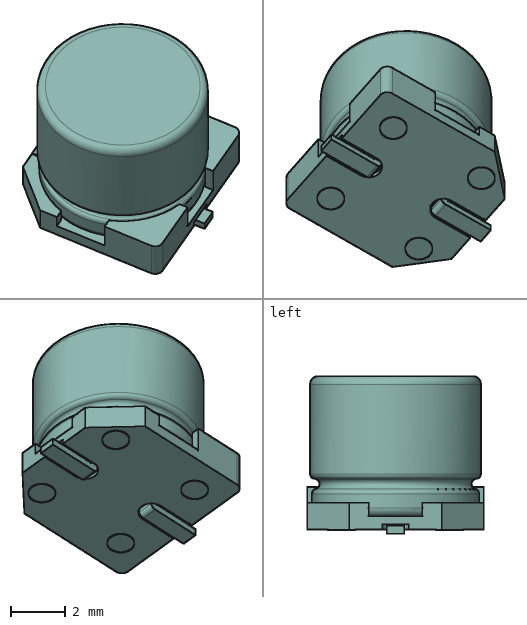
import cadquery as cq
import math

total_length = 7.2
total_height = 5.8

base_size = 6.5
base_bottom = 0.15
floor_height = 0.65
low_top = 1.15
tall_top = 1.73
notch_half_width = 0.99
corner_chamfer = 1.555
corner_radius = 0.31

can_radius = 6.3 / 2
neck_radius = 5.61 / 2
bead_radius = 6.155 / 2
rim_radius = 0.3
groove_arc = 0.19
neck_height = 1.835

lead_width = 0.65
lead_thickness = 0.3
lead_inner_end = 1.36
lead_bend_radius = 0.19
slot_width = 0.98
slot_top = 0.36

foot_diameter = 1.0
foot_offset = 1.99
foot_height = 0.03


def block(x_min, x_max, y_min, y_max, z_min, z_max):
    """Box between the given limits."""
    size = (x_max - x_min, y_max - y_min, z_max - z_min)
    return cq.Workplane("XY").box(*size, centered=False).translate((x_min, y_min, z_min))


def make_base():
    half = base_size / 2
    plate = block(-half, half, -half, half, base_bottom, tall_top)
    plate = plate.edges("|Z and <X").chamfer(corner_chamfer)
    plate = plate.edges("|Z and >X").fillet(corner_radius)

    plate = plate.cut(block(-half, notch_half_width, -half, half, low_top, tall_top))
    notch = notch_half_width
    plate = plate.cut(block(-notch, notch, -half, half, floor_height, tall_top))
    plate = plate.cut(block(-half, half, -notch, notch, floor_height, tall_top))

    seat = cq.Workplane("XY").workplane(offset=floor_height).circle(bead_radius).extrude(tall_top)
    return plate.cut(seat)


def arc_shift(radial_shift):
    """Height between the centres of two tangent groove arcs offset radially."""
    return math.sqrt((2 * groove_arc) ** 2 - radial_shift ** 2)


def make_can():
    """Revolved can with a rolled neck: three tangent arcs of equal radius."""
    upper_r = can_radius - groove_arc
    neck_r = neck_radius + groove_arc
    lower_r = bead_radius - groove_arc
    upper_z = neck_height + arc_shift(neck_r - upper_r)
    lower_z = neck_height - arc_shift(neck_r - lower_r)

    upper_joint = ((upper_r + neck_r) / 2, (upper_z + neck_height) / 2)
    lower_joint = ((lower_r + neck_r) / 2, (lower_z + neck_height) / 2)

    profile = (
        cq.Workplane("XZ")
        .moveTo(0, floor_height)
        .lineTo(bead_radius - rim_radius, floor_height)
        .radiusArc((bead_radius, floor_height + rim_radius), -rim_radius)
        .lineTo(bead_radius, lower_z)
        .radiusArc(lower_joint, -groove_arc)
        .threePointArc((neck_radius, neck_height), upper_joint)
        .radiusArc((can_radius, upper_z), -groove_arc)
        .lineTo(can_radius, total_height - rim_radius)
        .radiusArc((can_radius - rim_radius, total_height), -rim_radius)
        .lineTo(0, total_height)
        .close()
    )
    return profile.revolve(360, (0, 0, 0), (0, 1, 0))


def make_slot(side):
    """Round-ended clearance slot under the base; side is -1 or +1 along X."""
    clearance = (slot_width - lead_width) / 2
    round_centre = lead_inner_end - clearance + slot_width / 2
    half = slot_width / 2
    outline = (
        cq.Workplane("XY")
        .moveTo(side * total_length / 2, -half)
        .lineTo(side * round_centre, -half)
        .threePointArc((side * (round_centre - half), 0), (side * round_centre, half))
        .lineTo(side * total_length / 2, half)
        .close()
    )
    return outline.extrude(slot_top)


def make_lead(side):
    """Flat lead that bends upward into the base at its inner end."""
    bend_end = lead_inner_end + lead_bend_radius
    tip = total_length / 2
    outline = (
        cq.Workplane("XZ")
        .moveTo(side * tip, 0)
        .lineTo(side * bend_end, 0)
        .radiusArc((side * lead_inner_end, lead_bend_radius), side * lead_bend_radius)
        .lineTo(side * lead_inner_end, floor_height)
        .lineTo(side * (lead_inner_end + lead_thickness), floor_height)
        .lineTo(side * (lead_inner_end + lead_thickness), lead_thickness)
        .lineTo(side * tip, lead_thickness)
        .close()
    )
    return outline.extrude(lead_width / 2, both=True)


def make_feet():
    return (
        cq.Workplane("XY")
        .workplane(offset=base_bottom - foot_height)
        .rect(2 * foot_offset, 2 * foot_offset, forConstruction=True)
        .vertices()
        .circle(foot_diameter / 2)
        .extrude(2 * foot_height)
    )


result = make_base().union(make_can()).union(make_feet())
for side in (-1, 1):
    result = result.cut(make_slot(side)).union(make_lead(side))